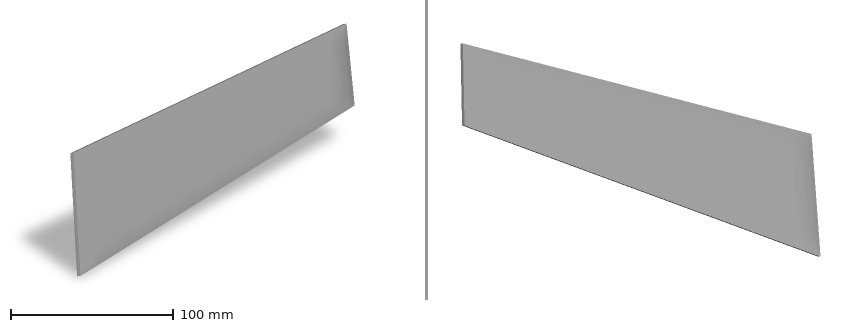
import cadquery as cq
import math

heading = 8.12
tilt = 21.27

thickness = 3.0
top_length = 258.0
front_depth = 72.32
front_overhang = 24.06
rear_depth = 49.08
rear_setback = 13.0


def plate_plane():
    """Plane of the left face: local x runs rearwards along the top edge, local y up the face."""
    turn = math.radians(heading)
    lean = math.radians(tilt)
    along_top_edge = (math.sin(turn), math.cos(turn), 0)
    through_plate = (math.cos(lean) * math.cos(turn), -math.cos(lean) * math.sin(turn), math.sin(lean))
    return cq.Plane(origin=(0, 0, 0), xDir=along_top_edge, normal=through_plate)


def make_plate():
    """Four-sided flat plate with all edges square to its faces."""
    outline = [
        (0, 0),
        (top_length, 0),
        (top_length - rear_setback, -rear_depth),
        (-front_overhang, -front_depth),
    ]
    return cq.Workplane(plate_plane()).polyline(outline).close().extrude(thickness)


result = make_plate()